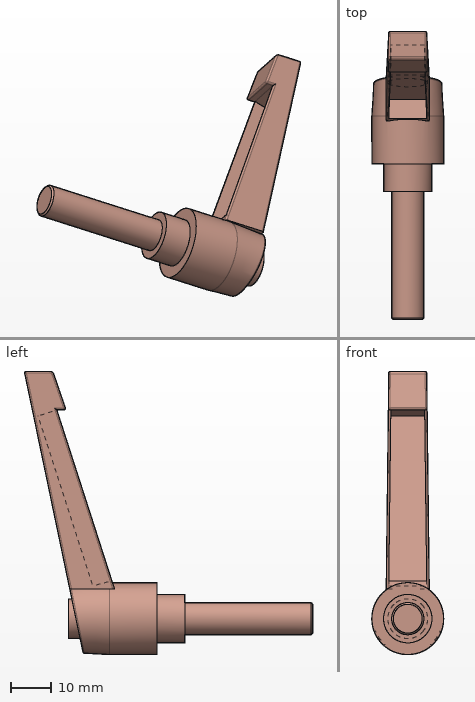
import cadquery as cq
import math


total_length = 71.9
stud_radius = 4.0
stud_chamfer = 0.4
sleeve_start = 31.9
sleeve_radius = 6.05
hub_start = 38.8
hub_radius = 9.0
hub_taper_start = 50.75
hub_end_radius = 8.4
hub_edge_radius = 0.35
button_radius = 4.95
button_end = 61.0

arm_top = 61.7
back_lean = 0.209
head_front_top = 64.85
head_front_bottom = 61.55
notch_z = 52.05
notch_y = 63.85
arm_foot_y = 49.5
arm_foot_z = 7.4
arm_top_half_width = 4.75
arm_foot_half_width = 5.4
arm_edge_radius = 0.4
head_nose_radius = 1.1
tip_loss = arm_edge_radius * (back_lean + math.sqrt(1 + back_lean**2) - 1)
sharp_tip_y = total_length + tip_loss

pocket_depth = 5.2
wall = 0.65
ceiling_drop = 1.5
floor_drop = 1.2
pocket_lip_z = 9.4


def back_y(z):
    """Y of the leaning back plane at height z."""
    return sharp_tip_y - back_lean * (arm_top - z)


def front_y(z):
    """Y of the arm's front face, below the notch, at height z."""
    slope = (notch_y - arm_foot_y) / (notch_z - arm_foot_z)
    return arm_foot_y + slope * (z - arm_foot_z)


def side_prism(points, width):
    """Prism of a (Y, Z) outline, centred on X = 0."""
    return cq.Workplane("YZ").polyline(points).close().extrude(width / 2, both=True)


def tapered_slab(inset):
    """Block through Y whose sides follow the arm's taper, moved inwards by inset."""
    top = arm_top_half_width - inset
    foot = arm_foot_half_width - inset
    outline = [(-foot, arm_foot_z), (foot, arm_foot_z), (top, arm_top), (-top, arm_top)]
    return cq.Workplane("XZ").polyline(outline).close().extrude(-2 * total_length)


def rod(radius, start, end):
    """Cylinder on the hub axis between two Y positions."""
    return cq.Workplane("XZ", origin=(0, start, 0)).circle(radius).extrude(start - end)


def make_hub():
    taper_rate = (hub_radius - hub_end_radius) / (button_end - hub_taper_start)
    far_end = total_length
    far_radius = hub_radius - taper_rate * (far_end - hub_taper_start)
    hub = (
        cq.Workplane("XY")
        .moveTo(0, hub_start)
        .lineTo(hub_radius, hub_start)
        .lineTo(hub_radius, hub_taper_start)
        .lineTo(far_radius, far_end)
        .lineTo(0, far_end)
        .close()
        .revolve(360, (0, 0, 0), (0, 1, 0))
    )
    below_back = side_prism(
        [
            (0, -arm_top),
            (back_y(-arm_top), -arm_top),
            (back_y(arm_top), arm_top),
            (0, arm_top),
        ],
        2 * total_length,
    )
    return hub.intersect(below_back).faces(">Y").edges().fillet(hub_edge_radius)


def make_arm():
    outline = [
        (back_y(arm_foot_z), arm_foot_z),
        (back_y(arm_top), arm_top),
        (head_front_top, arm_top),
        (head_front_bottom, notch_z),
        (notch_y, notch_z),
        (arm_foot_y, arm_foot_z),
    ]
    blank = side_prism(outline, 4 * arm_foot_half_width)
    nose = cq.selectors.NearestToPointSelector((0, head_front_top, arm_top))
    blank = blank.edges("|X").edges(nose).fillet(head_nose_radius)
    arm = blank.intersect(tapered_slab(0))
    head_bottom = cq.selectors.NearestToPointSelector((0, head_front_bottom, notch_z))
    rounded_edges = arm.edges("((not |X) and (not <Z)) or >Y").add(arm.edges("|X").edges(head_bottom))
    return rounded_edges.fillet(arm_edge_radius)


def make_pocket():
    ceiling_z = notch_z - ceiling_drop
    floor_z = pocket_lip_z - floor_drop
    outline = [
        (front_y(ceiling_z) + pocket_depth, ceiling_z),
        (front_y(notch_z), notch_z),
        (front_y(pocket_lip_z) - wall, notch_z),
        (front_y(pocket_lip_z) - wall, pocket_lip_z),
        (front_y(pocket_lip_z), pocket_lip_z),
        (front_y(floor_z) + pocket_depth, floor_z),
    ]
    return side_prism(outline, 4 * arm_foot_half_width).intersect(tapered_slab(wall))


stud = rod(stud_radius, 0, hub_start).faces("<Y").chamfer(stud_chamfer)
sleeve = rod(sleeve_radius, sleeve_start, hub_start)
button = rod(button_radius, hub_taper_start, button_end)
handle = make_arm().union(make_hub()).cut(make_pocket())
result = handle.union(sleeve).union(stud).union(button)